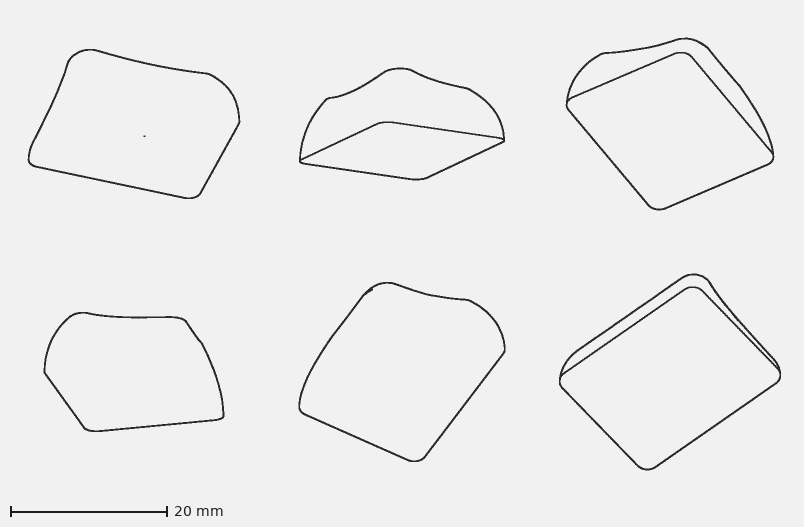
import cadquery as cq

length = 23.15
width = 18.4

loft_height = 9.26
section_count = 6
base_corner_radius = 1.62
top_corner_radius = 2.78
back_inset = 3.47
front_inset = 1.85
back_corner_inset = 0.7
front_corner_inset = 9.6
wall_power = 2.2

dish_low_z = 6.32
dish_low_y = 0.7
dish_radius_along_x = 28.95
dish_radius_along_y = 21.55
dish_tool_depth = 9.26
rim_radius = 0.93


def wall_section(level):
    """Closed outline of the wall at a fraction of the loft height."""
    lean = level**wall_power
    back_y = width / 2 - back_inset * lean
    front_y = -width / 2 + front_inset * lean
    back_x = length / 2 - back_corner_inset * lean
    front_x = length / 2 - front_corner_inset * lean
    radius = base_corner_radius + (top_corner_radius - base_corner_radius) * level
    height = level * loft_height
    corners = [
        cq.Vector(-back_x, back_y, height),
        cq.Vector(-front_x, front_y, height),
        cq.Vector(front_x, front_y, height),
        cq.Vector(back_x, back_y, height),
    ]
    outline = cq.Wire.makePolygon(corners, close=True)
    return outline.fillet2D(radius, outline.Vertices())


def make_body():
    levels = [index / (section_count - 1) for index in range(section_count)]
    return cq.Workplane(cq.Solid.makeLoft([wall_section(level) for level in levels]))


def make_dish_cutter():
    """Bowl: an arc along Y swung about a high axis parallel to Y."""
    half_chord = (dish_radius_along_y**2 - (dish_radius_along_y - dish_tool_depth) ** 2) ** 0.5
    chord_z = dish_low_z + dish_tool_depth
    axis_z = dish_low_z + dish_radius_along_x
    return (
        cq.Workplane("YZ")
        .moveTo(dish_low_y - half_chord, chord_z)
        .threePointArc((dish_low_y, dish_low_z), (dish_low_y + half_chord, chord_z))
        .close()
        .revolve(360, (0, axis_z), (1, axis_z))
    )


dished = make_body().cut(make_dish_cutter())
result = dished.faces("%REVOLUTION").edges().fillet(rim_radius)